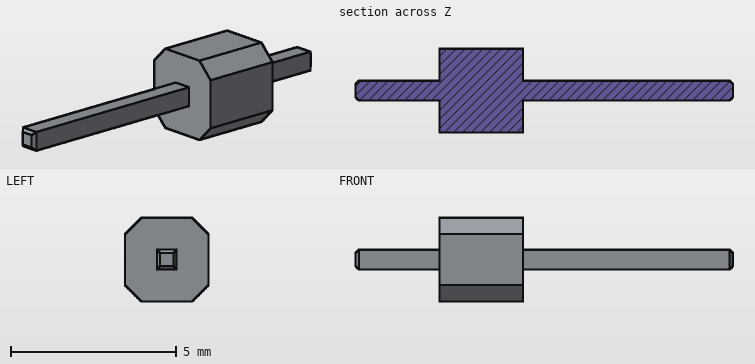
import cadquery as cq

pitch = 2.54
housing_chamfer = 0.5
pin_width = 0.6
pin_length = 11.44
short_tail = pitch
tip_chamfer = 0.1


def make_housing():
    """Octagonal block along X with its -X face at X = 0."""
    block = cq.Workplane("YZ").rect(pitch, pitch).extrude(pitch)
    return block.edges("|X").chamfer(housing_chamfer)


def make_pin():
    """Square pin through the middle of the housing, chamfered at both ends."""
    bar = (
        cq.Workplane("YZ", origin=(-short_tail, 0, 0))
        .rect(pin_width, pin_width)
        .extrude(pin_length)
    )
    return bar.faces("<X or >X").chamfer(tip_chamfer)


result = make_housing().union(make_pin())